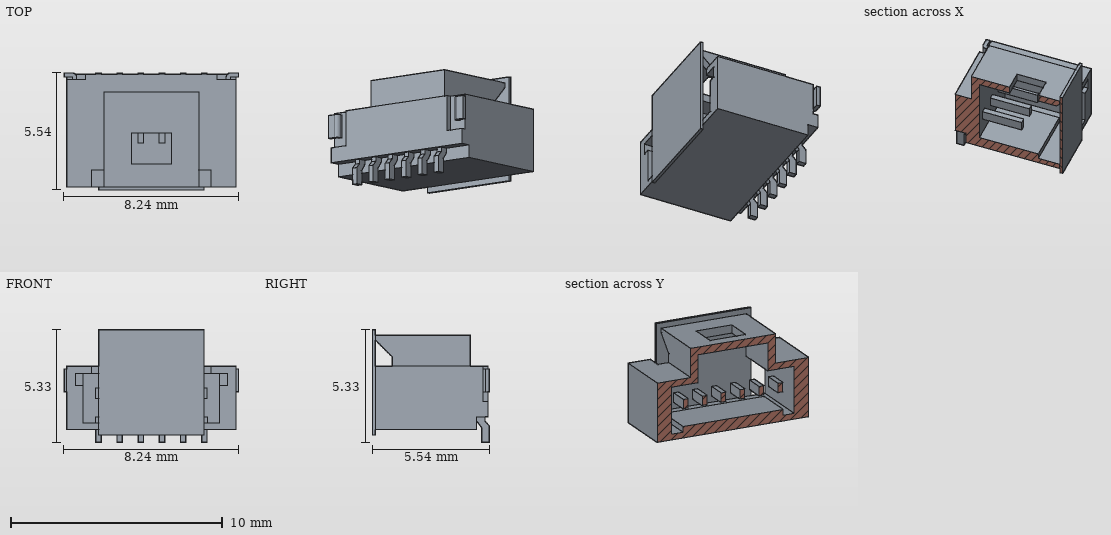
import cadquery as cq


overall_width = 8.24
housing_width = 8.0
housing_depth = 5.33
housing_height = 3.0
heel_y = 4.795
heel_height = 0.6

hood_width = 4.5
hood_rear_y = 4.5
hood_rise = 1.47
hood_wall = 0.41
hood_lip = 0.23
roof_notch_width = 5.64
front_relief = 0.8

cavity_width = 6.44
cavity_floor = 0.31
cavity_top = 2.65
groove_width = 7.185
groove_bottom = 2.08
cavity_rear_y = hood_rear_y - hood_wall

step_width = 5.29
step_front_y = 1.09
step_top = 0.6

window_width = 1.88
window_front_y = 1.08
window_rear_y = 2.555

pin_count = 6
pin_row_length = 5.0
pin_pitch = pin_row_length / (pin_count - 1)
pin_width = 0.26
contact_tip_y = 2.09
contact_bottom = 1.475
contact_top = 1.96
leg_thickness = 0.37
leg_rear_y = 5.4
leg_bottom = -0.6
leg_neck_rear_y = 5.19
leg_bend_top = 0.395
leg_bend_rear_bottom = 0.17
leg_bend_front_bottom = 0.09

recess_width = 0.9
recess_depth = 0.25
recess_bottom = 1.32
tab_reach = 0.585
tab_thickness = 0.2
tab_bottom = 1.78
tab_top = 2.875

tape_side = 4.99
tape_thickness = 0.14
tape_bottom = -0.26

hood_top = housing_height + hood_rise
ceiling_z = hood_top - hood_wall


def centred_box(width, y_min, y_max, z_min, z_max, x_centre=0.0):
    """Box centred on x_centre, between the given Y and Z limits."""
    corner = cq.Vector(x_centre - width / 2, y_min, z_min)
    return cq.Workplane(cq.Solid.makeBox(width, y_max - y_min, z_max - z_min, corner))


def side_extrusion(width, outline, x_centre=0.0):
    """Solid with a (Y, Z) outline, extruded along X about x_centre."""
    sketch = cq.Workplane("YZ", origin=(x_centre, 0, 0)).polyline(outline).close()
    return sketch.extrude(width / 2, both=True)


def make_shell():
    """Housing block with its heel step and the hood standing on it."""
    block = centred_box(housing_width, 0, housing_depth, 0, housing_height)
    heel = centred_box(housing_width, heel_y, housing_depth, 0, heel_height)
    slope_top = hood_top - hood_lip
    hood_outline = [
        (front_relief, housing_height),
        (hood_rear_y, housing_height),
        (hood_rear_y, hood_top),
        (0, hood_top),
        (0, slope_top),
        (front_relief, slope_top - front_relief),
    ]
    return block.cut(heel).union(side_extrusion(hood_width, hood_outline))


def cut_openings(shell):
    """Plug cavity, side grooves, hood hollow, roof notch and window."""
    hollow_width = hood_width - 2 * hood_wall
    cavity = centred_box(cavity_width, 0, cavity_rear_y, cavity_floor, cavity_top)
    grooves = centred_box(groove_width, 0, front_relief, groove_bottom, cavity_top)
    hollow = centred_box(hollow_width, 0, cavity_rear_y, cavity_floor, ceiling_z)
    roof_notch = centred_box(roof_notch_width, 0, front_relief, cavity_top, housing_height)
    window = centred_box(window_width, window_front_y, window_rear_y, ceiling_z, hood_top)
    return shell.cut(cavity).cut(grooves).cut(hollow).cut(roof_notch).cut(window)


def make_floor_step():
    return centred_box(step_width, step_front_y, cavity_rear_y, cavity_floor, step_top)


def make_pin(x):
    """Straight contact in the cavity and joggled solder leg below the heel."""
    contact = centred_box(pin_width, contact_tip_y, cavity_rear_y, contact_bottom, contact_top, x)
    leg_front_y = leg_rear_y - leg_thickness
    leg_outline = [
        (heel_y, heel_height),
        (leg_neck_rear_y, heel_height),
        (leg_neck_rear_y, leg_bend_top),
        (leg_rear_y, leg_bend_rear_bottom),
        (leg_rear_y, leg_bottom),
        (leg_front_y, leg_bottom),
        (leg_front_y, leg_bend_front_bottom),
        (heel_y, leg_bend_top),
    ]
    return contact, side_extrusion(pin_width, leg_outline, x)


def make_recess(side):
    """Rear corner recess; side is -1 for left, +1 for right."""
    x_centre = side * (housing_width - recess_width) / 2
    recess_front_y = housing_depth - recess_depth
    return centred_box(recess_width, recess_front_y, housing_depth, recess_bottom, housing_height, x_centre)


def make_tab(side):
    """L-shaped tab with a rounded outer bend; side is -1 for left, +1 for right."""
    x_outer = side * overall_width / 2
    x_inner = x_outer - side * tab_reach
    x_bend = x_inner + side * tab_thickness
    y_front = housing_depth - recess_depth
    y_bend = leg_rear_y - tab_thickness
    return (
        cq.Workplane("XY", origin=(0, 0, tab_bottom))
        .moveTo(x_outer, leg_rear_y)
        .lineTo(x_bend, leg_rear_y)
        .radiusArc((x_inner, y_bend), -side * tab_thickness)
        .lineTo(x_inner, y_front)
        .lineTo(x_bend, y_front)
        .lineTo(x_bend, y_bend)
        .lineTo(x_outer, y_bend)
        .close()
        .extrude(tab_top - tab_bottom)
    )


def make_connector():
    """Housing with its pins and solder tabs as one solid."""
    body = cut_openings(make_shell()).union(make_floor_step())
    for index in range(pin_count):
        contact, leg = make_pin((index - (pin_count - 1) / 2) * pin_pitch)
        body = body.union(contact).union(leg)
    for side in (-1, 1):
        body = body.cut(make_recess(side)).union(make_tab(side))
    return body


def make_tape():
    return centred_box(tape_side, -tape_thickness, 0, tape_bottom, tape_bottom + tape_side)


connector = make_connector()
tape = make_tape()

result = cq.Compound.makeCompound([connector.solids().val(), tape.val()])